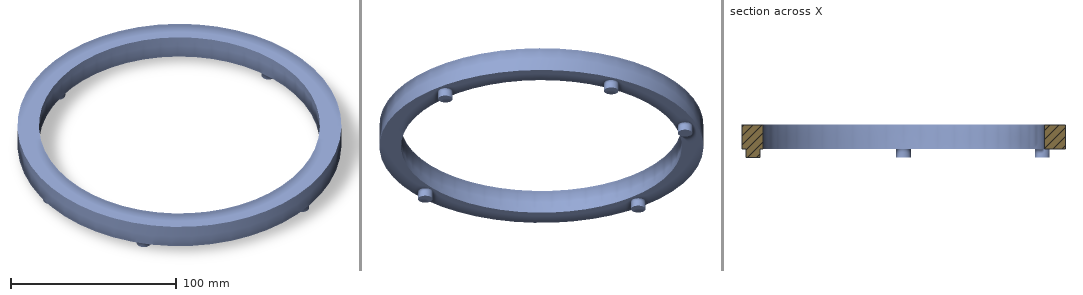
import cadquery as cq

outer_diameter = 196.0
inner_diameter = 170.0
ring_height = 14.9

pin_diameter = 8.8
pin_length = 5.0
side_pin_offset = 91.1
far_pin_offset = 92.0
front_pin_y = -83.9
front_left_pin_x = -35.3
front_right_pin_x = 34.9
pin_centres = [
    (-side_pin_offset, 0),
    (0, side_pin_offset),
    (far_pin_offset, 0),
    (front_left_pin_x, front_pin_y),
    (front_right_pin_x, front_pin_y),
]


def make_ring():
    """Plain ring with its underside on the XY plane."""
    return (
        cq.Workplane("XY")
        .circle(outer_diameter / 2)
        .circle(inner_diameter / 2)
        .extrude(ring_height)
    )


def make_pins():
    """Round pins hanging below the ring."""
    return (
        cq.Workplane("XY")
        .pushPoints(pin_centres)
        .circle(pin_diameter / 2)
        .extrude(-pin_length)
    )


result = make_ring().union(make_pins())